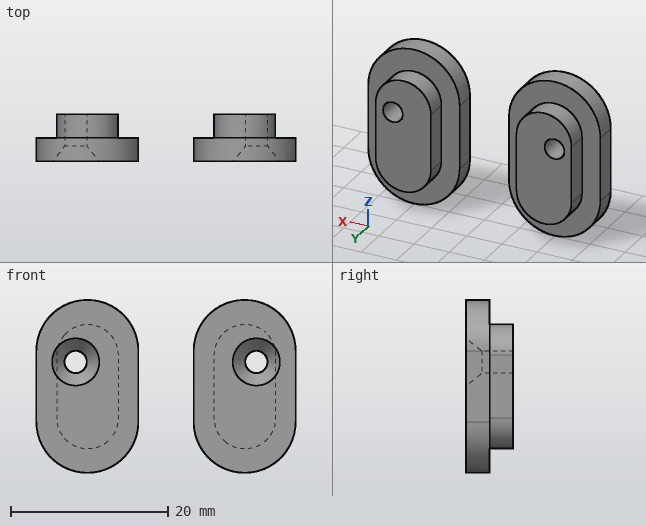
import cadquery as cq

overall_width = 33.0
plate_width = 13.0
plate_length = 22.0
plate_thickness = 3.0
overall_depth = 6.0

boss_width = 7.82
boss_length = 15.8
boss_height = overall_depth - plate_thickness

hole_diameter = 2.8
countersink_diameter = 6.0
countersink_depth = 2.0
hole_outward_offset = 1.5
hole_rise = 3.1

plate_spacing = overall_width - plate_width


def upright_slot(width, length, front_y, thickness):
    """Round-ended block standing along Z, extruded toward +Y from front_y."""
    return (
        cq.Workplane("XZ", origin=(0, front_y, 0))
        .slot2D(length, width, angle=90)
        .extrude(-thickness)
    )


def countersunk_cutter(hole_x):
    """Through hole with a cone that opens at the front face, y = 0."""
    centre = cq.Vector(hole_x, 0, hole_rise)
    backward = cq.Vector(0, 1, 0)
    bore = cq.Solid.makeCylinder(hole_diameter / 2, overall_depth, centre, backward)
    cone = cq.Solid.makeCone(
        countersink_diameter / 2, hole_diameter / 2, countersink_depth, centre, backward
    )
    return cq.Workplane(bore).union(cq.Workplane(cone))


def end_plate(side):
    """Plate with boss and hole; side is -1 for the left body, +1 for the right."""
    plate = upright_slot(plate_width, plate_length, 0, plate_thickness)
    boss = upright_slot(boss_width, boss_length, plate_thickness, boss_height)
    body = plate.union(boss).cut(countersunk_cutter(side * hole_outward_offset))
    return body.translate((side * plate_spacing / 2, 0, 0))


end_plates = [end_plate(side) for side in (-1, 1)]

result = cq.Compound.makeCompound([plate.val() for plate in end_plates])